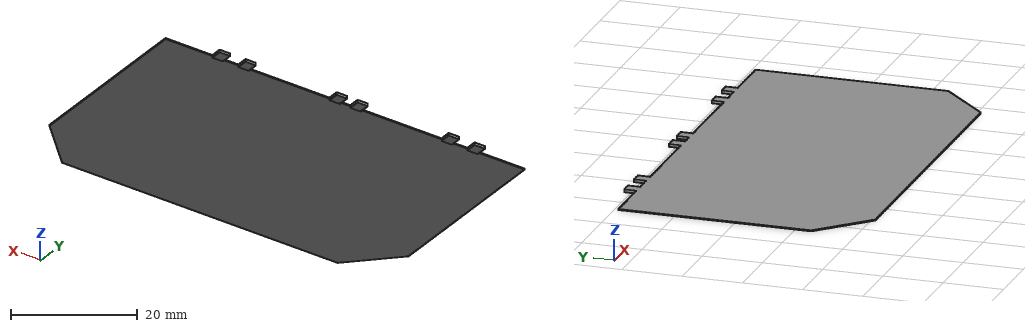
import cadquery as cq

plate_width = 69.0
plate_depth = 40.0
plate_thickness = 0.2
corner_chamfer = 8.0

tab_size = 2.0
tab_thickness = 0.5
tab_offsets = (2.0, 19.5, 24.5)


def make_plate():
    """Flat plate with its two front corners cut off."""
    return (
        cq.Workplane("XY")
        .rect(plate_width, plate_depth)
        .extrude(-plate_thickness)
        .edges("|Z and <Y")
        .chamfer(corner_chamfer)
    )


def make_tabs():
    """Mirrored tabs standing out from the back edge."""
    tab_center_y = (plate_depth + tab_size) / 2
    centers = [(side * offset, tab_center_y) for side in (-1, 1) for offset in tab_offsets]
    return (
        cq.Workplane("XY")
        .pushPoints(centers)
        .rect(tab_size, tab_size)
        .extrude(-tab_thickness)
    )


result = make_plate().union(make_tabs())